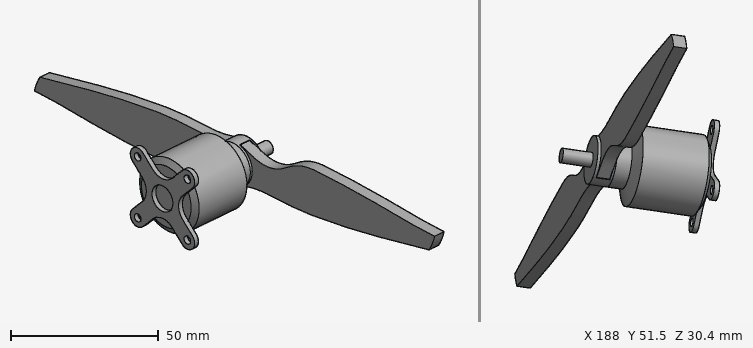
import cadquery as cq
import math


can_dia = 28.0
neck_dia = 16.7
shaft_dia = 5.0
front_chamfer_depth = 1.5
front_face_dia = 23.3
can_rear_y = 26.7
neck_start_y = 29.0
shaft_tip_y = 51.5

cross_thickness = 1.9
cross_hole_dia = 3.0
cross_hole_offset = 11.7
cross_arm_width = 7.0
cross_inner_fillet = 6.4
centre_recess_dia = 9.8

hub_dia = 16.7
hub_front_y = 34.2
hub_rear_y = 41.0
blade_front_y = 35.2
blade_rear_y = 39.9
blade_tip_x = 94.0


def cylinder(diameter, start_y, end_y):
    """Cylinder on the motor axis between two Y positions."""
    return cq.Workplane("XZ", origin=(0, start_y, 0)).circle(diameter / 2).extrude(start_y - end_y)


def make_motor_can():
    """Revolved can with chamfered front, conical rear shoulder, neck and shaft."""
    profile = [
        (0, cross_thickness),
        (front_face_dia / 2, cross_thickness),
        (can_dia / 2, cross_thickness + front_chamfer_depth),
        (can_dia / 2, can_rear_y),
        (neck_dia / 2, neck_start_y),
        (neck_dia / 2, hub_front_y),
        (shaft_dia / 2, hub_front_y),
        (shaft_dia / 2, shaft_tip_y),
        (0, shaft_tip_y),
    ]
    return cq.Workplane("XY").polyline(profile).close().revolve(360, (0, 0, 0), (0, 1, 0))


def make_cross():
    """Four-armed mounting plate with round arm ends, screw holes and a centre opening."""
    plane = cq.Workplane("XZ")
    hole_radius_from_axis = cross_hole_offset * math.sqrt(2)
    arm_length = 2 * hole_radius_from_axis + cross_arm_width
    bar_45 = plane.slot2D(arm_length, cross_arm_width, 45).extrude(-cross_thickness)
    bar_135 = plane.slot2D(arm_length, cross_arm_width, 135).extrude(-cross_thickness)
    cross = bar_45.union(bar_135)
    inner_corners = cq.selectors.BoxSelector(
        (-cross_arm_width, -cross_thickness, -cross_arm_width),
        (cross_arm_width, 2 * cross_thickness, cross_arm_width),
    )
    cross = cross.edges("|Y").edges(inner_corners).fillet(cross_inner_fillet)
    holes = (
        plane.rect(2 * cross_hole_offset, 2 * cross_hole_offset, forConstruction=True)
        .vertices()
        .circle(cross_hole_dia / 2)
        .extrude(-cross_thickness)
    )
    return cross.cut(holes).cut(cylinder(centre_recess_dia, 0, cross_thickness))


def make_motor():
    return make_motor_can().union(make_cross())


def make_blade():
    """Flat blade pointing along +X, broad near the root and raked at the tip."""
    upper_tip = (blade_tip_x, 6.5)
    lower_tip = (91.4, 0.4)
    tip_bow = (92.9, 3.2)
    lower_root = (4.5, -7.0)
    upper_root = (2.6, 8.3)
    upper_edge = [(7.5, 6.2), (14.1, 4.5), (20.7, 5.5), (27.3, 9.0), (32.9, 10.9), (41.4, 11.0), (65.8, 9.2)]
    lower_edge = [(65.8, -3.5), (41.4, -6.2), (26.3, -6.5), (17.0, -6.0)]
    outline = (
        cq.Workplane("XZ", origin=(0, blade_front_y, 0))
        .moveTo(0, 0)
        .lineTo(*upper_root)
        .spline(upper_edge + [upper_tip], includeCurrent=True)
        .threePointArc(tip_bow, lower_tip)
        .spline(lower_edge + [lower_root], includeCurrent=True)
        .close()
    )
    return outline.extrude(blade_front_y - blade_rear_y)


def make_propeller():
    """Hub with two opposite blades, bored for the motor shaft."""
    propeller = cylinder(hub_dia, hub_front_y, hub_rear_y)
    for angle in (0, 180):
        propeller = propeller.union(make_blade().rotate((0, 0, 0), (0, 1, 0), angle))
    return propeller.cut(cylinder(shaft_dia, hub_front_y, hub_rear_y))


motor = make_motor()
propeller = make_propeller()
result = cq.Compound.makeCompound([motor.val(), propeller.val()])